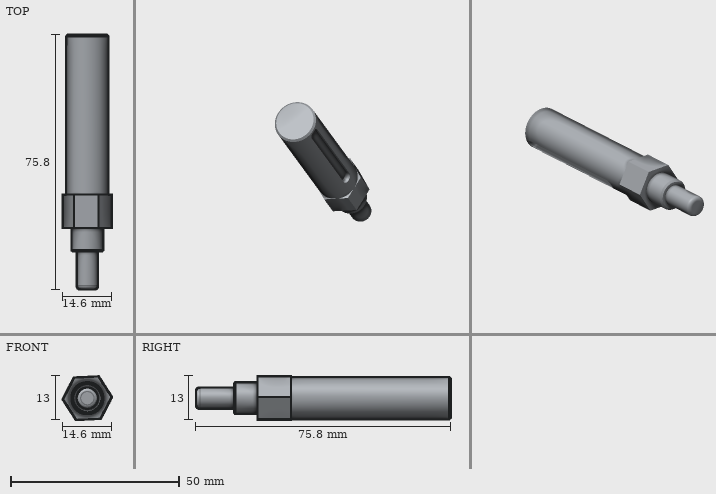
import cadquery as cq
import math

total_length = 75.77
shank_diameter = 12.7
shank_length = 47.55
shank_chamfer = 0.6

hex_across_flats = shank_diameter
hex_length = 9.9
clock_angle = 2.76
hex_sides = 6

collar_diameter = 0.75 * shank_diameter
collar_length = 7.05
collar_chamfer = 0.55

pin_diameter = shank_diameter / 2
pin_tip_radius = 1.2

slot_width = shank_diameter / 4
slot_length = 39.85
slot_depth = 1.7
slot_angle = 210 + clock_angle
slot_end_margin = 1.4

hex_back = hex_length
shank_back = hex_back + shank_length
collar_front = -collar_length
pin_tip = shank_back - total_length
pin_seat = hex_back


def cylinder(diameter, front, back):
    """Cylinder about the Y axis between two stations."""
    return cq.Workplane("XZ", origin=(0, back, 0)).circle(diameter / 2).extrude(back - front)


def hexagon():
    corner_diameter = hex_across_flats / math.cos(math.pi / hex_sides)
    return (
        cq.Workplane("XZ", origin=(0, hex_back, 0))
        .transformed(rotate=(0, 0, clock_angle))
        .polygon(hex_sides, corner_diameter)
        .extrude(hex_length)
    )


def key_slot():
    """Cutter for the flat-floored, round-ended slot, centred on one flat of the hexagon."""
    slot_direction = math.radians(slot_angle)
    outward = cq.Vector(math.cos(slot_direction), 0, math.sin(slot_direction))
    slot_middle = shank_back - slot_end_margin - slot_length / 2
    floor_center = outward * (shank_diameter / 2 - slot_depth) + cq.Vector(0, slot_middle, 0)
    floor = cq.Plane(origin=floor_center, xDir=(0, 1, 0), normal=outward)
    return cq.Workplane(floor).slot2D(slot_length, slot_width).extrude(shank_diameter / 2)


def make_housing():
    shank = cylinder(shank_diameter, hex_back, shank_back).faces(">Y").chamfer(shank_chamfer)
    collar = cylinder(collar_diameter, collar_front, 0).faces("<Y").chamfer(collar_chamfer)
    pin_bore = cylinder(pin_diameter, collar_front, pin_seat)
    return shank.union(hexagon()).union(collar).cut(key_slot()).cut(pin_bore)


def make_pin():
    return cylinder(pin_diameter, pin_tip, pin_seat).faces("<Y").edges().fillet(pin_tip_radius)


housing = make_housing()
pin = make_pin()
result = cq.Compound.makeCompound([housing.val(), pin.val()])